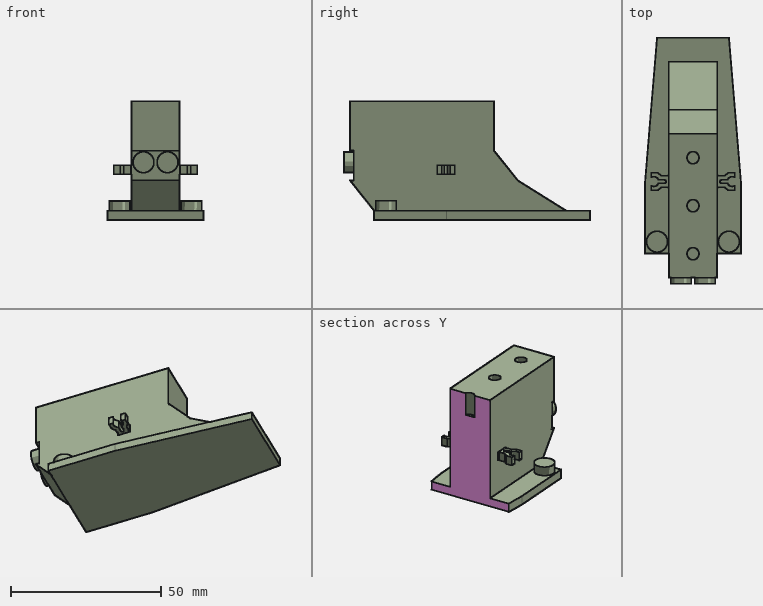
import cadquery as cq

plate_width = 32.0
plate_back_width = 24.0
plate_length = 72.0
plate_straight_length = 24.0
plate_thickness = 3.2

body_width = plate_width / 2
body_height = 39.6
body_overhang = body_width / 2
body_back_top = 40.0
body_knee_y = 48.0
body_toe_y = 64.0
shoulder_z = 23.1
knee_z = 13.2

recess_depth = 1.2

stud_diameter = 7.0
stud_height = plate_thickness
plate_stud_x = 12.0
plate_stud_y = 4.0
front_stud_x = body_width / 4
front_stud_z = 19.3
front_stud_tip_y = -10.0

hole_diameter = 4.0
hole_pitch = 16.0
hole_count = 3
hole_depth = 8.0

clip_y = plate_straight_length
clip_bottom = 15.25
clip_height = 3.0
clip_reach = 6.0
clip_half_width = 2.95
clip_neck_half_width = 2.0
clip_neck_length = 2.55
clip_jaw_start = 3.8
clip_bore_radius = 1.6
clip_bore_inset = 0.9
clip_slot_width = 1.1
clip_slot_start = 1.0
clip_slot_corner_radius = 0.5
clip_root_flare = 0.3


def make_plate():
    half = plate_width / 2
    back_half = plate_back_width / 2
    outline = [
        (-half, 0),
        (half, 0),
        (half, plate_straight_length),
        (back_half, plate_length),
        (-back_half, plate_length),
        (-half, plate_straight_length),
    ]
    return cq.Workplane("XY").polyline(outline).close().extrude(plate_thickness)


def make_body():
    recess_y = recess_depth - body_overhang
    outline = [
        (0, plate_thickness),
        (-body_overhang, knee_z),
        (recess_y, knee_z),
        (recess_y, shoulder_z),
        (-body_overhang, shoulder_z),
        (-body_overhang, body_height),
        (body_back_top, body_height),
        (body_back_top, shoulder_z),
        (body_knee_y, knee_z),
        (body_toe_y, plate_thickness),
    ]
    profile = cq.Workplane("YZ").polyline(outline).close()
    return profile.extrude(body_width / 2, both=True)


def make_plate_stud(x):
    base = cq.Workplane("XY").center(x, plate_stud_y)
    return base.circle(stud_diameter / 2).extrude(plate_thickness + stud_height)


def make_front_stud(x):
    tip = cq.Workplane("XZ", origin=(x, front_stud_tip_y, front_stud_z))
    return tip.circle(stud_diameter / 2).extrude(-stud_diameter)


def make_clip(side):
    root_half_width = clip_neck_half_width + clip_root_flare
    outline = [
        (0, -root_half_width),
        (clip_root_flare, -clip_neck_half_width),
        (clip_neck_length, -clip_neck_half_width),
        (clip_jaw_start, -clip_half_width),
        (clip_reach, -clip_half_width),
        (clip_reach, clip_half_width),
        (clip_jaw_start, clip_half_width),
        (clip_neck_length, clip_neck_half_width),
        (clip_root_flare, clip_neck_half_width),
        (0, root_half_width),
    ]
    bore_x = clip_reach - clip_bore_inset
    slot_length = bore_x - clip_slot_start
    clip = cq.Workplane("XY").polyline(outline).close().extrude(clip_height)
    bore = cq.Workplane("XY").center(bore_x, 0).circle(clip_bore_radius).extrude(clip_height)
    slot = (
        cq.Workplane("XY")
        .center(clip_slot_start + slot_length / 2, 0)
        .rect(slot_length, clip_slot_width)
        .extrude(clip_height)
        .edges("|Z and <X")
        .fillet(clip_slot_corner_radius)
    )
    clip = clip.cut(bore).cut(slot).translate((body_width / 2, clip_y, clip_bottom))
    return clip if side > 0 else clip.mirror("YZ")


result = make_plate().union(make_body())
for side in (-1, 1):
    result = result.union(make_plate_stud(side * plate_stud_x))
    result = result.union(make_front_stud(side * front_stud_x))
    result = result.union(make_clip(side))

hole_centres = [(0, index * hole_pitch) for index in range(hole_count)]
holes = (
    cq.Workplane("XY", origin=(0, 0, body_height))
    .pushPoints(hole_centres)
    .circle(hole_diameter / 2)
    .extrude(-hole_depth)
)
result = result.cut(holes)